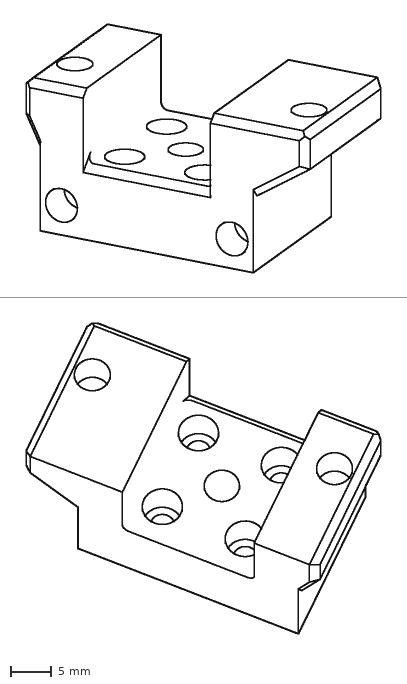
import cadquery as cq

length = 40.0
depth = 21.0
height = 20.0
edge_chamfer = 1.0

base_length = 30.0
base_left = (length - base_length) / 4
base_right = base_left + base_length
base_height = height / 2
tip_height = 15.0
center_x = base_left + base_length / 2
center_y = depth / 2

channel_width = 17.9
channel_fillet = 1.0

pin_diameter = 4.5
pin_depth = 5.0
front_pin_spacing = 24.0
front_pin_height = 4.0
top_pin_inset = 3.5
top_pin_y = 7.4
screw_spacing = 11.3
screw_diameter = 3.0
counterbore_diameter = 5.0
counterbore_depth = 5.0
center_hole_diameter = 4.4


def make_jaws():
    """Upper block with sloped undersides and chamfered ends."""
    outline = [
        (base_left, base_height),
        (base_right, base_height),
        (length, tip_height),
        (length, height),
        (0, height),
        (0, tip_height),
    ]
    jaws = cq.Workplane("XZ").polyline(outline).close().extrude(-depth)
    end_edges = jaws.faces("<X or >X").edges(">Z or |Z")
    slope_edges = jaws.edges("not (|X or |Y or |Z)")
    jaws = jaws.newObject(end_edges.vals() + slope_edges.vals()).chamfer(edge_chamfer)
    return jaws.faces("<Y").edges(">Z").chamfer(edge_chamfer)


def make_base():
    """Square-edged base, carried up to fill the core between the slopes."""
    base = cq.Workplane("XY").box(base_length, depth, tip_height, centered=False)
    return base.translate((base_left, 0, 0))


def make_channel():
    """Cutter for the channel, rounded along both floor corners."""
    return (
        cq.Workplane("XY", origin=(center_x, center_y, base_height))
        .rect(channel_width, depth)
        .extrude(height - base_height)
        .edges("|Y and <Z")
        .fillet(channel_fillet)
    )


def make_floor_bevel():
    """Cutter for the bevel along the front edge of the channel floor."""
    bevel_reach = edge_chamfer + channel_fillet
    bevel_bottom = base_height - edge_chamfer
    bevel_top = bevel_bottom + bevel_reach
    return (
        cq.Workplane("YZ", origin=(center_x, 0, 0))
        .polyline([(0, bevel_bottom), (bevel_reach, bevel_top), (0, bevel_top)])
        .close()
        .extrude(channel_width / 2, both=True)
    )


def drill_front_pins(body):
    cutter = (
        cq.Workplane("XZ", origin=(center_x, 0, front_pin_height))
        .rarray(front_pin_spacing, 0.4, 2, 1)
        .circle(pin_diameter / 2)
        .extrude(-pin_depth)
    )
    return body.cut(cutter)


def drill_top_pins(body):
    cutter = (
        cq.Workplane("XY", origin=(length / 2, top_pin_y, height))
        .rarray(length - 2 * top_pin_inset, 0.4, 2, 1)
        .circle(pin_diameter / 2)
        .extrude(-pin_depth)
    )
    return body.cut(cutter)


def drill_channel_floor(body):
    """Four counterbored screw holes around a plain center hole."""
    floor = cq.Workplane("XY", origin=(center_x, center_y, base_height))
    screws = floor.rarray(screw_spacing, screw_spacing, 2, 2)
    through = screws.circle(screw_diameter / 2).extrude(-base_height)
    counterbores = (
        floor.workplane(offset=-counterbore_depth)
        .rarray(screw_spacing, screw_spacing, 2, 2)
        .circle(counterbore_diameter / 2)
        .extrude(counterbore_depth + channel_fillet)
    )
    center_hole = floor.circle(center_hole_diameter / 2).extrude(-base_height)
    return body.cut(through).cut(counterbores).cut(center_hole)


body = make_jaws().union(make_base())
body = body.cut(make_channel()).cut(make_floor_bevel())
body = drill_front_pins(body)
body = drill_top_pins(body)
result = drill_channel_floor(body)